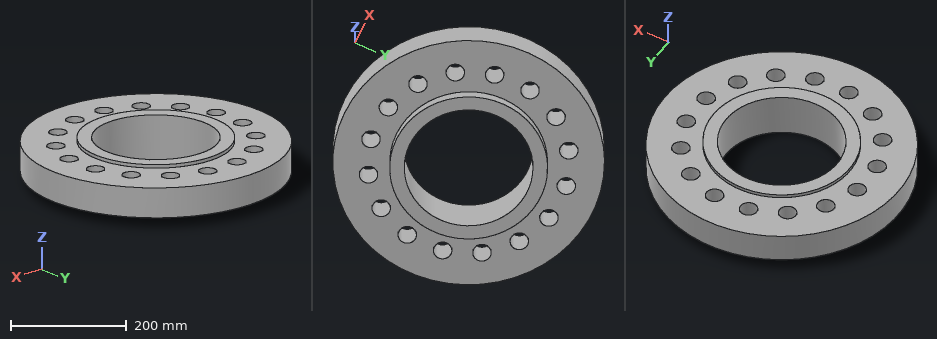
import cadquery as cq

flange_diameter = 469.9
flange_thickness = 55.5625

overall_height = 82.55
raised_face_height = 6.35
hub_diameter = 273.05
hub_height = overall_height - flange_thickness - raised_face_height

bore_diameter = 222.25

bolt_count = 16
bolt_circle_diameter = 349.25
bolt_hole_diameter = 31.75
first_bolt_angle = 360 / bolt_count / 2


def make_body():
    """Flange disc with the hub below and the raised face above, bottom at Z = 0."""
    core = cq.Workplane("XY").circle(hub_diameter / 2).extrude(overall_height)
    disc = (
        cq.Workplane("XY")
        .workplane(offset=hub_height)
        .circle(flange_diameter / 2)
        .extrude(flange_thickness)
    )
    return core.union(disc)


def make_bore():
    """Cylinder that opens the centre through the full height."""
    return cq.Workplane("XY").circle(bore_diameter / 2).extrude(overall_height)


def make_bolt_holes():
    """Ring of cylinders that pass through the flange disc."""
    return (
        cq.Workplane("XY")
        .workplane(offset=hub_height)
        .polarArray(bolt_circle_diameter / 2, first_bolt_angle, 360, bolt_count)
        .circle(bolt_hole_diameter / 2)
        .extrude(flange_thickness)
    )


result = make_body().cut(make_bore()).cut(make_bolt_holes())